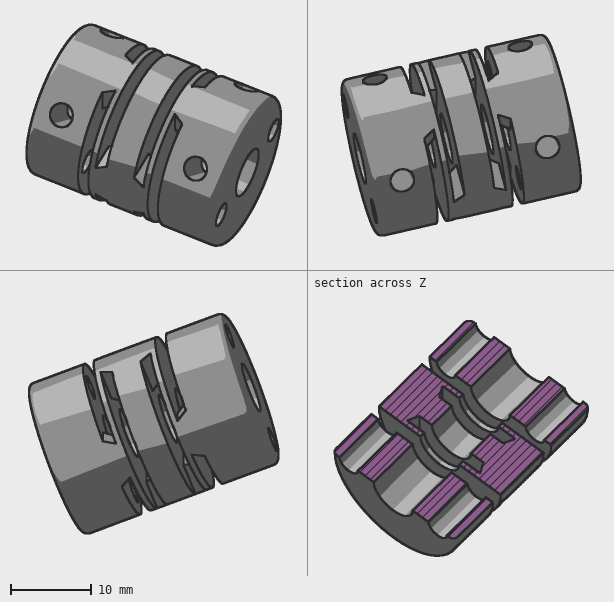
import cadquery as cq
import math

length = 26.0
outer_diameter = 20.0
edge_fillet = 0.75
bore_diameter = 6.35

screw_diameter = 3.0
screw_end_distance = 3.7
screw_angles = (-45, 45)

pin_diameter = 3.0
pin_offset = 7.3

slot_width = 1.43
disc_thickness = 0.78
middle_thickness = 3.8
web_side_slope = math.tan(math.radians(30))
web_foot_slope = 0.5

outer_web_half_width = 2.4
outer_web_foot = 6.79
inner_web_half_width = 2.73
inner_web_foot = 5.93

half_length = length / 2
outer_radius = outer_diameter / 2
inner_slot_start = middle_thickness / 2
inner_slot_end = inner_slot_start + slot_width
outer_slot_start = inner_slot_end + disc_thickness
outer_slot_end = outer_slot_start + slot_width


def make_web(disc_x, far_x, half_width, foot):
    """One web pointing to +Z that widens and deepens from disc_x to far_x."""
    far_half_width = half_width + slot_width * web_side_slope
    far_foot = foot - slot_width * web_foot_slope
    sides = (
        cq.Workplane("XY")
        .moveTo(disc_x, -half_width)
        .lineTo(far_x, -far_half_width)
        .lineTo(far_x, far_half_width)
        .lineTo(disc_x, half_width)
        .close()
        .extrude(outer_diameter)
    )
    depth = (
        cq.Workplane("XZ")
        .moveTo(disc_x, foot)
        .lineTo(far_x, far_foot)
        .lineTo(far_x, outer_diameter)
        .lineTo(disc_x, outer_diameter)
        .close()
        .extrude(outer_radius, both=True)
    )
    return sides.intersect(depth)


def make_slot(disc_x, far_x, half_width, foot, web_angle):
    """Full-section slot cutter between disc_x and far_x, less its two webs."""
    slot = cq.Workplane("YZ", origin=(min(disc_x, far_x), 0, 0)).circle(outer_diameter).extrude(slot_width)
    web = make_web(disc_x, far_x, half_width, foot)
    for angle in (web_angle, web_angle + 180):
        slot = slot.cut(web.rotate((0, 0, 0), (1, 0, 0), angle))
    return slot


def make_screw_hole(x, angle):
    """Radial hole from the axis outward, turned about X away from +Z."""
    hole = cq.Workplane("XY", origin=(x, 0, 0)).circle(screw_diameter / 2).extrude(outer_diameter)
    return hole.rotate((0, 0, 0), (1, 0, 0), angle)


result = cq.Workplane("YZ").circle(outer_radius).extrude(half_length, both=True)
result = result.faces("<X or >X").edges().fillet(edge_fillet)

result = result.cut(cq.Workplane("YZ").circle(bore_diameter / 2).extrude(length, both=True))

for side in (-1, 1):
    result = result.cut(
        make_slot(side * outer_slot_start, side * outer_slot_end, outer_web_half_width, outer_web_foot, 0)
    )
    result = result.cut(
        make_slot(side * inner_slot_end, side * inner_slot_start, inner_web_half_width, inner_web_foot, 90)
    )
    for angle in screw_angles:
        result = result.cut(make_screw_hole(side * (half_length - screw_end_distance), angle))
    pin_holes = (
        cq.Workplane("YZ", origin=(side * outer_slot_end, 0, 0))
        .pushPoints([(-pin_offset, 0), (pin_offset, 0)])
        .circle(pin_diameter / 2)
        .extrude(side * length)
    )
    result = result.cut(pin_holes)